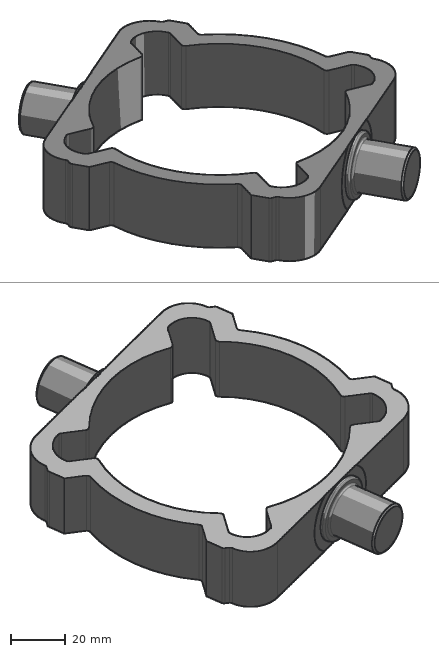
import cadquery as cq
import math

body_height = 27.0
half_width = 53.5
corner_radius = 12.0
outer_radius = 55.0
bore_radius = 48.0

slot_width = 16.0
slot_end_radius = 10.0
slot_end_offset = 37.0
slot_fillet = 1.5
diagonal_angles = (45, 135, 225, 315)

lug_top = 55.5
lug_flank_offset = 17.0
lug_foot_x = 40.85
lug_fillet = 1.5
valley_fillet = 1.5

pin_tip_x = 74.9
pin_diameter = 20.0
pin_tip_chamfer = 0.75
pin_root_fillet = 0.75
collar_diameter = 26.0
collar_face_x = 55.0
collar_fillet = 0.75
trunnion_embed = 1.0

spot_face_diameter = 34.0
spot_face_depth = 0.1

flank_rise = lug_flank_offset * math.sqrt(2)
valley_x = (math.sqrt(2 * outer_radius**2 - flank_rise**2) - flank_rise) / 2
valley_y = valley_x + flank_rise
lug_inner_x = lug_top - flank_rise
lug_outer_x = lug_foot_x - (lug_top - half_width)


def make_quadrant():
    """Solid +X +Y quarter of the ring outline, with the lug corners rounded."""
    half_angle = math.atan2(valley_x, valley_y) / 2
    corner_start = half_width - corner_radius
    corner_mid = corner_start + corner_radius / math.sqrt(2)
    quadrant = (
        cq.Workplane("XY")
        .moveTo(0, outer_radius)
        .threePointArc(
            (outer_radius * math.sin(half_angle), outer_radius * math.cos(half_angle)),
            (valley_x, valley_y),
        )
        .lineTo(lug_inner_x, lug_top)
        .lineTo(lug_outer_x, lug_top)
        .lineTo(lug_foot_x, half_width)
        .lineTo(corner_start, half_width)
        .threePointArc((corner_mid, corner_mid), (half_width, corner_start))
        .lineTo(half_width, 0)
        .lineTo(0, 0)
        .close()
        .extrude(body_height / 2, both=True)
    )
    rounded_edges = (
        (valley_x, valley_y, valley_fillet),
        (lug_outer_x, lug_top, lug_fillet),
        (lug_foot_x, half_width, lug_fillet),
    )
    for x, y, radius in rounded_edges:
        nearest = cq.selectors.NearestToPointSelector((x, y, 0))
        quadrant = quadrant.edges("|Z").edges(nearest).fillet(radius)
    return quadrant


def make_ring_blank():
    """Full outline, mirrored from one quadrant."""
    quadrant = make_quadrant()
    half = quadrant.union(quadrant.mirror("YZ"))
    return half.union(half.mirror("XZ")).clean()


def make_cavity():
    """Bore with four diagonal slots, with the slot mouths and slot ends rounded."""
    end_distance = slot_end_offset * math.sqrt(2)
    half_slot = slot_width / 2
    mouth_distance = math.sqrt(bore_radius**2 - half_slot**2)
    wall_distance = end_distance + math.sqrt(slot_end_radius**2 - half_slot**2)

    cavity = cq.Workplane("XY").circle(bore_radius).extrude(body_height / 2, both=True)
    slot = (
        cq.Workplane("XY")
        .moveTo(0, -half_slot)
        .lineTo(wall_distance, -half_slot)
        .threePointArc((end_distance + slot_end_radius, 0), (wall_distance, half_slot))
        .lineTo(0, half_slot)
        .close()
        .extrude(body_height / 2, both=True)
    )
    for angle in diagonal_angles:
        cavity = cavity.union(slot.rotate((0, 0, 0), (0, 0, 1), angle))

    for angle in diagonal_angles:
        for distance in (mouth_distance, wall_distance):
            for side in (-half_slot, half_slot):
                radius = math.hypot(distance, side)
                direction = math.radians(angle) + math.atan2(side, distance)
                corner = (radius * math.cos(direction), radius * math.sin(direction), 0)
                nearest = cq.selectors.NearestToPointSelector(corner)
                cavity = cavity.edges("|Z").edges(nearest).fillet(slot_fillet)
    return cavity


def make_spot_face_cutter():
    """Disc that faces the +X side of the ring around the collar."""
    return (
        cq.Workplane("YZ", origin=(half_width - spot_face_depth, 0, 0))
        .circle(spot_face_diameter / 2)
        .extrude(2 * spot_face_depth)
    )


def make_trunnion():
    """Collar and pin on the +X side, revolved about the X axis."""
    embedded_x = half_width - trunnion_embed
    pin_radius = pin_diameter / 2
    collar_radius = collar_diameter / 2
    return (
        cq.Workplane("XY")
        .moveTo(embedded_x, 0)
        .lineTo(embedded_x, collar_radius)
        .lineTo(collar_face_x - collar_fillet, collar_radius)
        .radiusArc((collar_face_x, collar_radius - collar_fillet), collar_fillet)
        .lineTo(collar_face_x, pin_radius + pin_root_fillet)
        .radiusArc((collar_face_x + pin_root_fillet, pin_radius), -pin_root_fillet)
        .lineTo(pin_tip_x - pin_tip_chamfer, pin_radius)
        .lineTo(pin_tip_x, pin_radius - pin_tip_chamfer)
        .lineTo(pin_tip_x, 0)
        .close()
        .revolve(360, (0, 0, 0), (1, 0, 0))
    )


def add_both_trunnions(ring):
    """Spot face and trunnion on the +X side and their mirror images on the -X side."""
    cutter = make_spot_face_cutter()
    trunnion = make_trunnion()
    faced = ring.cut(cutter).cut(cutter.mirror("YZ"))
    return faced.union(trunnion).union(trunnion.mirror("YZ"))


result = add_both_trunnions(make_ring_blank().cut(make_cavity()))